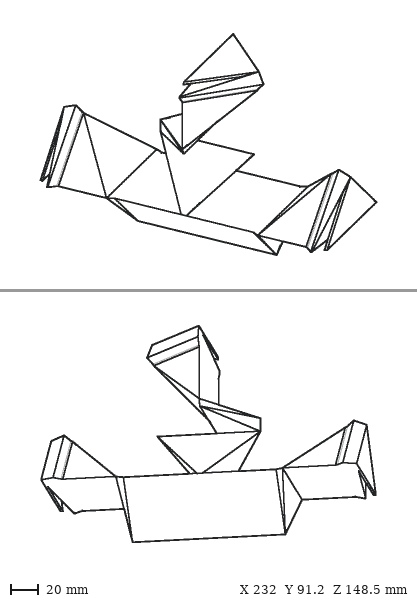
import cadquery as cq

core_half_width = 38.0
core_half_length = 56.1
hinge_half_width = 40.5
hinge_reach = 61.2
foot_half_length = 2.0
stem_height = 41.0
step_height = 50.8
hinge_height = 55.7
tip_overlap = 0.2

pyramid_end = 39.0
neck_end = 40.4
rim_station = 45.2
cap_end = 54.8

rim_width = 91.2

neck_radius = 41.3
rim_radius = rim_width / 2
cap_radius = 41.8

flap_thickness = 1.9
flap_reach = 38.0
slot_lip = 0.7
slot_cut_size = 464.0


def polyhedron(faces):
    """Solid bounded by flat faces, each given as a list of corner points."""
    sides = []
    for corners in faces:
        outline = cq.Wire.makePolygon([cq.Vector(*corner) for corner in corners], close=True)
        sides.append(cq.Face.makeFromWires(outline))
    return cq.Workplane(cq.Solid.makeSolid(cq.Shell.makeShell(sides)))


def triangular_block(start, end):
    """Solid between two similar triangles with matching corners."""
    a, b, c = start
    d, e, f = end
    return polyhedron([start, end, (a, b, e, d), (b, c, f, e), (c, a, d, f)])


def tetrahedron(a, b, c, d):
    return polyhedron([(a, b, c), (a, b, d), (a, c, d), (b, c, d)])


def hinge_flare(left, right, tip, outer_left, outer_right):
    """Wedge that widens from the triangle left-right-tip to an outer hinge edge."""
    return polyhedron([
        (left, right, tip),
        (outer_left, outer_right, tip),
        (left, outer_left, tip),
        (right, outer_right, tip),
        (left, right, outer_right, outer_left),
    ])



def trough_section(x):
    return [
        (x, -core_half_width, 0),
        (x, core_half_width, 0),
        (x, 0, -core_half_width),
    ]


def make_trough():
    """V-shaped bar along X with a hinge flare at each end."""
    trough = triangular_block(trough_section(-core_half_length), trough_section(core_half_length))
    for side in (-1, 1):
        left, right, tip = trough_section(side * core_half_length)
        outer_left = (side * hinge_reach, -hinge_half_width, 0)
        outer_right = (side * hinge_reach, hinge_half_width, 0)
        trough = trough.union(hinge_flare(left, right, tip, outer_left, outer_right))
    return trough


def make_stem():
    """Tetrahedron-like block from a narrow foot along Y to a ridge along X."""
    front_left = (-foot_half_length, -core_half_width, 0)
    front_right = (foot_half_length, -core_half_width, 0)
    back_left = (-foot_half_length, core_half_width, 0)
    back_right = (foot_half_length, core_half_width, 0)
    ridge_left = (-core_half_width, 0, stem_height)
    ridge_right = (core_half_width, 0, stem_height)
    return polyhedron([
        (front_left, front_right, back_right, back_left),
        (front_left, front_right, ridge_right, ridge_left),
        (back_left, back_right, ridge_right, ridge_left),
        (front_left, back_left, ridge_left),
        (front_right, back_right, ridge_right),
    ])


def make_step():
    """Wedge on the -X tip of the stem, with a hinge flare on top."""
    foot = (-core_half_width, 0, stem_height - tip_overlap)
    tip = (-core_half_width, 0, step_height)
    back = (0, core_half_width, step_height)
    front = (0, -core_half_width, step_height)
    outer_back = (0, hinge_half_width, hinge_height)
    outer_front = (0, -hinge_half_width, hinge_height)
    flare = hinge_flare(back, front, tip, outer_back, outer_front)
    return tetrahedron(foot, tip, back, front).union(flare)


def make_centre():
    return make_trough().union(make_stem()).union(make_step())



def end_section(station, radius, front_reach):
    """Triangle with its long side on the flat side of the body."""
    return [
        (0, radius, station),
        (radius, 0, station),
        (0, -front_reach, station),
    ]


def end_block(start, start_radius, end, end_radius):
    return triangular_block(
        end_section(start, start_radius, start_radius),
        end_section(end, end_radius, end_radius),
    )


def make_pyramid():
    """Ramp that rises from the hinge edge to a full triangular section."""
    hinge_front = (0, -hinge_half_width, 0)
    hinge_back = (0, hinge_half_width, 0)
    back, peak, front = end_section(pyramid_end, hinge_half_width, hinge_half_width)
    return polyhedron([
        (hinge_front, hinge_back, back, front),
        (hinge_front, hinge_back, peak),
        (back, peak, front),
        (hinge_back, back, peak),
        (hinge_front, front, peak),
    ])


def space_above_slot_floor():
    """Block above the plane that falls from the cap's back edge to its front corner."""
    back = cq.Vector(0, cap_radius, cap_end)
    peak = cq.Vector(cap_radius, 0, cap_end)
    front = cq.Vector(0, -rim_radius, rim_station + slot_lip)
    along_edge = peak - back
    upward = (front - back).cross(along_edge)
    floor = cq.Plane(origin=back.toTuple(), xDir=along_edge.toTuple(), normal=upward.toTuple())
    return cq.Workplane(floor).rect(slot_cut_size, slot_cut_size).extrude(cap_end)


def make_flap():
    """Plate at the end of the cap, joined to it along the back edge only."""
    taper = (rim_radius - cap_radius) / (cap_end - rim_station)
    base_radius = cap_radius + taper * flap_thickness
    base_reach = flap_reach * base_radius / cap_radius
    return triangular_block(
        end_section(cap_end - flap_thickness, base_radius, base_reach),
        end_section(cap_end, cap_radius, flap_reach),
    )


def make_end_body():
    neck = end_block(pyramid_end, hinge_half_width, neck_end, neck_radius)
    bevel = end_block(neck_end, neck_radius, rim_station, rim_radius)
    cap = end_block(rim_station, rim_radius, cap_end, cap_radius).cut(space_above_slot_floor())
    return make_pyramid().union(neck).union(bevel).union(cap).union(make_flap())



end_placements = [
    (False, 0, (0, 0, hinge_height)),
    (False, -90, (-hinge_reach, 0, 0)),
    (True, 90, (hinge_reach, 0, 0)),
]

centre = make_centre()
end_bodies = []
for mirrored, turn, hinge_position in end_placements:
    end_body = make_end_body()
    if mirrored:
        end_body = end_body.mirror("YZ")
    end_body = end_body.rotate((0, 0, 0), (0, 1, 0), turn).translate(hinge_position)
    end_bodies.append(end_body.solids().val())

result = cq.Compound.makeCompound([centre.solids().val(), *end_bodies])